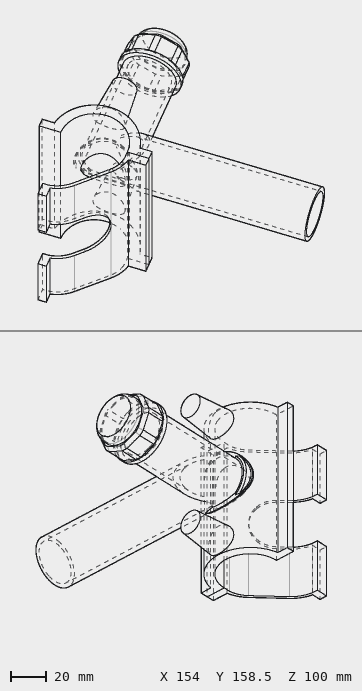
import cadquery as cq
import math

clamp_height = 100.0
bore_radius = 20.0
saddle_radius = 26.1
flange_half_span = 33.0
flange_thickness = 5.0

stud_offset_z = 39.9
stud_end_y = 49.7
stud_root_y = 23.8
stud_end_radius = 7.5
stud_taper = 5.0

main_pipe_radius = 16.2
side_pipe_radius = 16.0
pipe_bore_radius = 13.3
side_pipe_y = 30.5
side_pipe_end_x = 121.0

pad_radius = 19.0
pad_thickness = 0.6
collar_radius = 18.4
collar_top_y = 24.4
collar_chamfer = 1.1

cap_start_y = 90.0
cap_rim_radius = 19.0
cap_rim_thickness = 3.0
nut_sides = 8
nut_apothem = 17.7
nut_corner_radius = 18.5
nut_length = 14.0
nut_bevel_length = 2.4
nut_bevel_depth = 2.0
crown_radius = 15.2
crown_top_radius = 12.8
crown_length = 6.7
crown_edge_radius = 5.0

strap_radius = 23.0
strap_thickness = 1.9
strap_inner_radius = strap_radius - strap_thickness
strap_inner_edge_depth = 4.6
web_length = 22.8
lip_left_x = -17.1
lip_thickness = 5.0
lip_arc_end_x = -13.6
lip_end_y = -44.8
slot_radius = side_pipe_radius

clamp_bottom_z = -clamp_height / 2
nut_start_y = cap_start_y + cap_rim_thickness
crown_start_y = nut_start_y + nut_length
cap_end_y = crown_start_y + crown_length
diagonal = math.sqrt(0.5)


def cylinder_y(radius, start_y, end_y):
    """Cylinder about the Y axis."""
    return cq.Workplane("XZ", origin=(0, start_y, 0)).circle(radius).extrude(start_y - end_y)


def cylinder_z(radius):
    """Cylinder about the Z axis, as tall as the clamp."""
    return cq.Workplane("XY", origin=(0, 0, clamp_bottom_z)).circle(radius).extrude(clamp_height)


def cylinder_x(radius):
    """Cylinder along the side pipe, starting on the main pipe's axis."""
    return cq.Workplane("YZ").center(side_pipe_y, 0).circle(radius).extrude(side_pipe_end_x)


def make_saddle():
    """Half tube with a flange along each long edge, not yet bored."""
    back_half = cq.Workplane("XY").box(
        2 * flange_half_span, saddle_radius, clamp_height, centered=(True, False, True)
    )
    flanges = cq.Workplane("XY").box(
        2 * flange_half_span, flange_thickness, clamp_height, centered=(True, False, True)
    )
    return cylinder_z(saddle_radius).intersect(back_half).union(flanges)


def make_stud(center_z):
    """Tapered stud that widens from its end face down into the saddle wall."""
    return (
        cq.Workplane("XZ", origin=(0, stud_end_y, center_z))
        .circle(stud_end_radius)
        .extrude(stud_end_y - stud_root_y, taper=-stud_taper)
    )


def make_collar():
    """Thin pad wrapped on the saddle, and a chamfered collar above it."""
    wrap_radius = saddle_radius + pad_thickness
    pad = cylinder_y(pad_radius, 0, wrap_radius).intersect(cylinder_z(wrap_radius))
    collar = cylinder_y(collar_radius, 0, collar_top_y).faces(">Y").chamfer(collar_chamfer)
    return pad.union(collar)


def make_nut():
    """Octagon with a corner on each axis, rounded corners and a bevelled outer edge."""
    octagon_diameter = 2 * nut_apothem / math.cos(math.pi / nut_sides)
    bevel_start_y = crown_start_y - nut_bevel_length
    bevel_angle = math.degrees(math.atan(nut_bevel_depth / nut_bevel_length))

    def octagon(start_y):
        return cq.Workplane("XZ", origin=(0, start_y, 0)).polygon(nut_sides, octagon_diameter)

    def circle(start_y):
        return cq.Workplane("XZ", origin=(0, start_y, 0)).circle(nut_corner_radius)

    straight_length = bevel_start_y - nut_start_y
    straight = octagon(nut_start_y).extrude(-straight_length)
    straight = straight.intersect(circle(nut_start_y).extrude(-straight_length))
    bevel = octagon(bevel_start_y).extrude(-nut_bevel_length, taper=bevel_angle)
    bevel = bevel.intersect(circle(bevel_start_y).extrude(-nut_bevel_length, taper=bevel_angle))
    return straight.union(bevel)


def make_crown():
    """Round end of the cap, its edge an arc that meets the flat end at an angle."""
    arc_center_x = crown_radius - crown_edge_radius
    arc_height = math.sqrt(crown_edge_radius**2 - (crown_top_radius - arc_center_x) ** 2)
    arc_start_y = cap_end_y - arc_height
    half_angle = math.asin(arc_height / crown_edge_radius) / 2
    arc_middle = (
        arc_center_x + crown_edge_radius * math.cos(half_angle),
        arc_start_y + crown_edge_radius * math.sin(half_angle),
    )
    return (
        cq.Workplane("XY")
        .moveTo(0, crown_start_y)
        .lineTo(crown_radius, crown_start_y)
        .lineTo(crown_radius, arc_start_y)
        .threePointArc(arc_middle, (crown_top_radius, cap_end_y))
        .lineTo(0, cap_end_y)
        .close()
        .revolve(360, (0, 0, 0), (0, 1, 0))
    )


def make_housing():
    """Saddle, studs, tee and closing cap in one piece."""
    housing = make_saddle()
    for center_z in (-stud_offset_z, stud_offset_z):
        housing = housing.union(make_stud(center_z))
    housing = housing.union(make_collar())
    housing = housing.union(cylinder_y(main_pipe_radius, 0, cap_start_y))
    housing = housing.union(cylinder_x(side_pipe_radius))
    housing = housing.union(cylinder_y(cap_rim_radius, cap_start_y, nut_start_y))
    housing = housing.union(make_nut()).union(make_crown())
    housing = housing.cut(cylinder_z(bore_radius))
    return housing.cut(cylinder_y(pipe_bore_radius, 0, cap_start_y)).cut(cylinder_x(pipe_bore_radius))


def make_strap_slot():
    """Round-ended slot, square to the web, that runs out through the lip."""
    reach = 2 * saddle_radius
    center_x = (strap_radius - slot_radius) * diagonal
    center_y = -(strap_radius + slot_radius) * diagonal
    plane = cq.Plane(
        origin=(center_x, center_y, 0), xDir=(-diagonal, -diagonal, 0), normal=(diagonal, -diagonal, 0)
    )
    round_end = cq.Workplane(plane).circle(slot_radius).extrude(reach / 2, both=True)
    run_out = cq.Workplane(plane).box(reach, 2 * slot_radius, reach, centered=(False, True, True))
    return round_end.union(run_out)


def make_strap():
    """Flexible strap, hanging open from the saddle's +X flange, with a slot for the pipe."""
    web_shift = -web_length * diagonal

    def on_first_arc(radius, angle):
        return (radius * math.cos(angle), radius * math.sin(angle))

    def on_second_arc(radius, angle):
        x, y = on_first_arc(radius, angle)
        return (x + web_shift, y + web_shift)

    web_angle = -math.pi / 4
    lip_right_x = lip_left_x + lip_thickness
    inner_end_angle = -math.acos((lip_arc_end_x - web_shift) / strap_inner_radius)
    outer_end_angle = -math.acos((lip_right_x - web_shift) / strap_radius)
    flange_angle = -math.asin(flange_thickness / strap_radius)
    inner_end = on_second_arc(strap_inner_radius, inner_end_angle)
    outer_end = on_second_arc(strap_radius, outer_end_angle)

    profile = (
        cq.Workplane("XY", origin=(0, 0, clamp_bottom_z))
        .moveTo(bore_radius, 0)
        .lineTo(flange_half_span, 0)
        .lineTo(flange_half_span, -flange_thickness)
        .lineTo(*on_first_arc(strap_radius, flange_angle))
        .threePointArc(
            on_first_arc(strap_radius, (flange_angle + web_angle) / 2),
            on_first_arc(strap_radius, web_angle),
        )
        .lineTo(*on_second_arc(strap_radius, web_angle))
        .threePointArc(on_second_arc(strap_radius, (web_angle + outer_end_angle) / 2), outer_end)
        .lineTo(lip_right_x, lip_end_y)
        .lineTo(lip_left_x, lip_end_y)
        .lineTo(lip_left_x, inner_end[1])
        .lineTo(*inner_end)
        .threePointArc(
            on_second_arc(strap_inner_radius, (web_angle + inner_end_angle) / 2),
            on_second_arc(strap_inner_radius, web_angle),
        )
        .lineTo(*on_first_arc(strap_inner_radius, web_angle))
        .tangentArcPoint((bore_radius, -strap_inner_edge_depth), relative=False)
        .close()
    )
    return profile.extrude(clamp_height).cut(make_strap_slot())


housing = make_housing()
strap = make_strap()
result = cq.Compound.makeCompound([housing.solids().val(), strap.solids().val()])